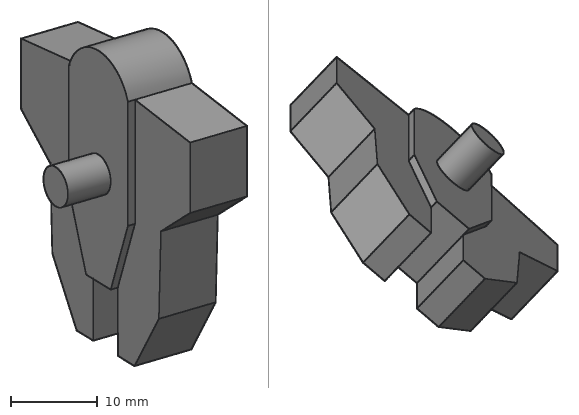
import cadquery as cq

height = 38.22
width = 34.4
body_depth = 8.0
plate_depth = 9.0
pin_length = 6.0

plate_half_width = 6.0
arch_start_z = 34.0
taper_start_z = 18.2

slot_width = 5.0
slot_top_z = 8.7

shoulder_top_z = 32.87
shoulder_bottom_z = 23.9
waist_half_width = 11.27
waist_z = 19.25
knee_half_width = 10.85
knee_z = 7.95
foot_half_width = 5.9

pin_diameter = 5.0
pin_z = 22.47


def mirrored(right_side):
    """Close an outline, listed top to bottom on the +X side, with its mirror image."""
    return right_side + [(-x, z) for x, z in reversed(right_side)]


def make_body():
    outline = mirrored([
        (plate_half_width, arch_start_z),
        (width / 2, shoulder_top_z),
        (width / 2, shoulder_bottom_z),
        (waist_half_width, waist_z),
        (knee_half_width, knee_z),
        (foot_half_width, 0),
        (slot_width / 2, 0),
        (slot_width / 2, slot_top_z),
    ])
    return cq.Workplane("XZ").polyline(outline).close().extrude(body_depth)


def make_plate():
    return (
        cq.Workplane("XZ")
        .moveTo(-plate_half_width, arch_start_z)
        .threePointArc((0, height), (plate_half_width, arch_start_z))
        .lineTo(plate_half_width, taper_start_z)
        .lineTo(slot_width / 2, slot_top_z)
        .lineTo(-slot_width / 2, slot_top_z)
        .lineTo(-plate_half_width, taper_start_z)
        .close()
        .extrude(plate_depth)
    )


def make_pin():
    return (
        cq.Workplane("XZ")
        .center(0, pin_z)
        .circle(pin_diameter / 2)
        .extrude(plate_depth + pin_length)
    )


result = make_body().union(make_plate()).union(make_pin())